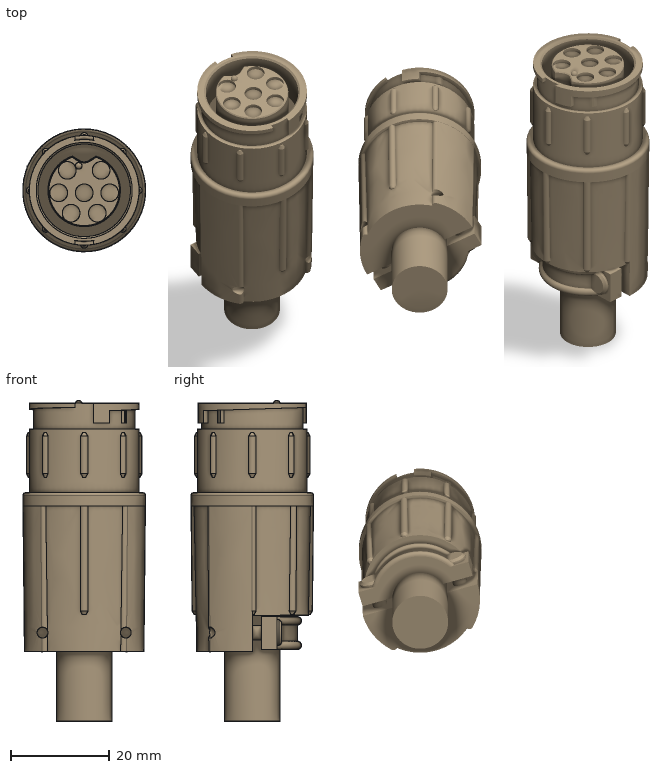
import cadquery as cq
import math

total_height = 65.48
body_bottom_z = 14.2
body_half_z = 21.6
collar_bottom_z = 43.9
collar_top_z = 46.65
barrel_top_z = 59.65
rim_z = 64.95
insert_top_z = 64.7

cable_radius = 5.7
collar_radius = 12.55
collar_edge = 0.6
barrel_radius = 11.2
neck_radius = 10.4
socket_radius = 9.45
socket_chamfer = 0.35
socket_depth = 8.0
insert_radius = 7.4
insert_chamfer = 0.2

rib_count = 8
rib_angles = [i * 360 // rib_count for i in range(rib_count)]
long_rib_angles = [225, 315]
rib_tip = 0.75
rib_tip_ratio = 0.45

body_radius_top = 11.9
body_radius_bottom = 11.35
side_radius_top = 12.5
side_radius_bottom = 12.2
body_rib_radius = 0.8
body_rib_end_z = 21.75

rib_radius = 0.74
rib_crest_radius = 11.79
rib_bottom_z = 49.8
rib_top_z = 58.95

flange_thin_z = 64.05
flange_thick_z = 63.35
entry_half_width = 1.9
stop_outer_x = 5.2
stop_bottom_z = 60.85
detent_foot_half_width = 0.85
detent_crest_half_width = 0.21
detent_crest_radius = 10.65
detent_angle = 38.5

contact_radius = 1.8
contact_depth = 0.8
contact_centres = [
    (0, -0.5),
    (-5.2, -0.5), (5.2, -0.5),
    (-2.67, -4.65), (2.67, -4.65),
    (-3.45, 4.08), (3.45, 4.08),
]
key_half_width = 2.45
key_nose_half_width = 1.1
key_nose_y = 6.15
key_bottom_y = 5.82
key_mouth_y = 7.0
pin_radius = 0.68
pin_centre = (-1.13, 5.0)

clamp_half_length = 11.7
clamp_front_y = 1.87
clamp_back_y = 5.0
clamp_bottom_z = 14.65
clamp_top_z = 21.35
arch_radius = 9.27
bead_crest_radius = 10.05
bead_radius = 0.85
screw_x = 8.5
screw_z = 18.1
screw_radius = 1.5
screw_head_radius = 2.65
screw_head_height = 1.0
screw_head_chamfer = 0.5
screw_hole_radius = 1.1
screw_hole_floor_y = -5.0


def cylinder(radius, bottom_z, top_z):
    return cq.Workplane("XY").workplane(offset=bottom_z).circle(radius).extrude(top_z - bottom_z)


def block(x_range, y_range, z_range):
    size = [high - low for low, high in (x_range, y_range, z_range)]
    corner = (x_range[0], y_range[0], z_range[0])
    return cq.Workplane("XY").box(*size, centered=False).translate(corner)


def y_cylinder(radius, x, z, start_y, end_y):
    plane = cq.Plane(origin=(x, start_y, z), xDir=(1, 0, 0), normal=(0, 1, 0))
    return cq.Workplane(plane).circle(radius).extrude(end_y - start_y)


def turned(profile):
    """Revolve a closed (radius, z) outline about the connector axis."""
    return cq.Workplane("XZ").polyline(profile).close().revolve(360, (0, 0, 0), (0, 1, 0))


def around_axis(shape, angles):
    turned_copies = [shape.rotate((0, 0, 0), (0, 0, 1), angle) for angle in angles]
    combined = turned_copies[0]
    for copy in turned_copies[1:]:
        combined = combined.union(copy)
    return combined


def frustum(top_radius, bottom_radius):
    return turned([
        (0, body_bottom_z), (bottom_radius, body_bottom_z),
        (top_radius, collar_bottom_z), (0, collar_bottom_z),
    ])


def side_panels():
    """Raised 45 degree sectors on both sides of the -Y half."""
    reach = 2 * collar_radius
    left = cq.Workplane("XY").polyline([(0, 0), (-reach, 0), (-reach, -reach)]).close()
    left = left.extrude(collar_bottom_z)
    sectors = left.union(left.mirror("YZ"))
    return frustum(side_radius_top, side_radius_bottom).intersect(sectors)


def round_rib(radius, bottom_z, top_z):
    """Round bar on the connector axis with a blunt cone at each end."""
    tip_radius = rib_tip_ratio * radius
    return turned([
        (0, bottom_z), (tip_radius, bottom_z), (radius, bottom_z + rib_tip),
        (radius, top_z - rib_tip), (tip_radius, top_z), (0, top_z),
    ])


def lean_body_rib(bar):
    """Move an upright bar out to +X and tilt it to follow the taper."""
    lean = math.degrees(math.atan(
        (side_radius_top - side_radius_bottom) / (collar_bottom_z - body_bottom_z)))
    axis_x = side_radius_top - body_rib_radius
    bar = bar.translate((axis_x, 0, 0))
    return bar.rotate((axis_x, 0, collar_bottom_z), (axis_x, 1, collar_bottom_z), lean)


def make_body():
    body = frustum(body_radius_top, body_radius_bottom)
    short_bar = round_rib(body_rib_radius, body_rib_end_z, collar_bottom_z + rib_tip)
    short_angles = [angle for angle in rib_angles if angle not in long_rib_angles]
    body = body.union(around_axis(lean_body_rib(short_bar), short_angles))
    long_bar = cylinder(body_rib_radius, body_bottom_z, collar_bottom_z)
    body = body.union(around_axis(lean_body_rib(long_bar), long_rib_angles))
    body = body.union(side_panels())
    reach = 2 * collar_radius
    body = body.cut(block((-reach, reach), (0, reach), (0, body_half_z)))
    for side in (-1, 1):
        body = body.cut(
            y_cylinder(screw_hole_radius, side * screw_x, screw_z, -reach, screw_hole_floor_y))
    return body


def make_barrel():
    collar = cylinder(collar_radius, collar_bottom_z, collar_top_z)
    collar = collar.faces(">Z").edges().fillet(collar_edge)
    barrel = cylinder(barrel_radius, collar_bottom_z, barrel_top_z)
    rib = round_rib(rib_radius, rib_bottom_z, rib_top_z)
    ribs = around_axis(rib.translate((rib_crest_radius - rib_radius, 0, 0)), rib_angles)
    return collar.union(barrel).union(ribs)


def bayonet_half():
    """Ramped flange on the -X side with its stop block at +Y and a detent."""
    reach = barrel_radius
    ramp = cq.Workplane("YZ").polyline([
        (-reach, rim_z), (-reach, flange_thin_z), (reach, flange_thick_z), (reach, rim_z),
    ]).close().extrude(-reach)
    stop = block((-stop_outer_x, 0), (0, reach), (stop_bottom_z, rim_z))
    half = ramp.union(stop).intersect(cylinder(barrel_radius, stop_bottom_z, rim_z))
    detent = cq.Workplane("XY").workplane(offset=stop_bottom_z).polyline([
        (-socket_radius, -detent_foot_half_width), (-neck_radius, -detent_foot_half_width),
        (-detent_crest_radius, -detent_crest_half_width), (-detent_crest_radius, detent_crest_half_width),
        (-neck_radius, detent_foot_half_width), (-socket_radius, detent_foot_half_width),
    ]).close().extrude(flange_thin_z - stop_bottom_z)
    return half.union(around_axis(detent, [-detent_angle]))


def make_socket():
    neck = cylinder(neck_radius, barrel_top_z, rim_z)
    bayonet = around_axis(bayonet_half(), [0, 180])
    entry_slots = block(
        (-entry_half_width, entry_half_width), (-collar_radius, collar_radius), (stop_bottom_z, rim_z))
    bayonet = bayonet.cut(entry_slots)
    return neck.union(bayonet)


def socket_cavity():
    mouth_radius = socket_radius + socket_chamfer
    floor_z = rim_z - socket_depth
    return turned([
        (0, floor_z), (socket_radius, floor_z), (socket_radius, rim_z - socket_chamfer),
        (mouth_radius, rim_z), (0, rim_z),
    ])


def make_insert():
    insert = cylinder(insert_radius, rim_z - socket_depth, insert_top_z)
    mouth_y = insert_radius + 1
    keyway = (
        cq.Workplane("XY").workplane(offset=rim_z - socket_depth)
        .moveTo(-key_half_width, mouth_y)
        .lineTo(-key_half_width, key_mouth_y)
        .lineTo(-key_nose_half_width, key_nose_y)
        .threePointArc((0, key_bottom_y), (key_nose_half_width, key_nose_y))
        .lineTo(key_half_width, key_mouth_y)
        .lineTo(key_half_width, mouth_y)
        .close().extrude(socket_depth)
    )
    insert = insert.cut(keyway).faces(">Z").edges().chamfer(insert_chamfer)
    pockets = cq.Workplane("XY").workplane(offset=insert_top_z - contact_depth)
    insert = insert.cut(pockets.pushPoints(contact_centres).circle(contact_radius).extrude(contact_depth))
    pin_dome = cq.Workplane("XY").sphere(pin_radius)
    return insert.union(pin_dome.translate((*pin_centre, total_height - pin_radius)))


def make_clamp():
    bar = block(
        (-clamp_half_length, clamp_half_length), (clamp_front_y, clamp_back_y),
        (clamp_bottom_z, clamp_top_z))
    arch = cylinder(arch_radius, clamp_bottom_z, clamp_top_z)
    bead_ring_radius = bead_crest_radius - bead_radius
    for bead_z in (clamp_bottom_z + bead_radius, clamp_top_z - bead_radius):
        bead = cq.Workplane("XY").add(cq.Solid.makeTorus(bead_ring_radius, bead_radius))
        bead = bead.translate((0, 0, bead_z))
        arch = arch.union(bead)
    reach = 2 * collar_radius
    arch = arch.intersect(block((-reach, reach), (clamp_back_y, reach), (0, collar_bottom_z)))
    clamp = bar.union(arch)
    for side in (-1, 1):
        shank = y_cylinder(screw_radius, side * screw_x, screw_z, 0, clamp_back_y)
        head_end_y = clamp_back_y + screw_head_height
        head = y_cylinder(screw_head_radius, side * screw_x, screw_z, clamp_back_y, head_end_y)
        head = head.faces(">Y").edges().chamfer(screw_head_chamfer)
        clamp = clamp.union(shank).union(head)
    return clamp


cable = cylinder(cable_radius, 0, collar_bottom_z)
shell = make_barrel().union(make_socket()).cut(socket_cavity())
result = cable.union(make_body()).union(make_clamp()).union(shell).union(make_insert())